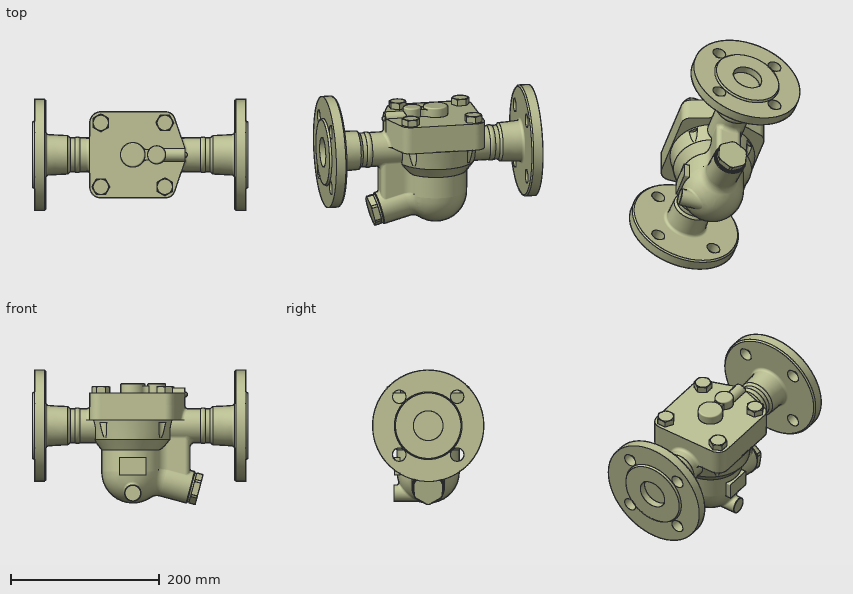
import cadquery as cq
import math

length = 290.0
bore_diameter = 40.0
bore_depth = 10.0
pipe_radius = 23.0
band_radius = 24.0
band_inner_x = 81.0
band_outer_x = 88.0
hub_step_start_x = 94.0
hub_step_end_x = 97.5
hub_small_radius = 26.0
hub_large_radius = 27.3
hub_fillet = 4.0

flange_diameter = 150.0
flange_thickness = 15.0
flange_chamfer = 2.0
raised_face_diameter = 88.0
raised_face_base_diameter = 91.0
raised_face_height = 3.0
bolt_circle_diameter = 110.0
flange_hole_diameter = 18.0
flange_back_x = length / 2 - raised_face_height - flange_thickness

body_x = -10.0
bolt_offset = 43.0
plate_corner_radius = 15.0
plate_half_width = bolt_offset + plate_corner_radius
plate_bottom_z = 7.4
plate_joint_z = 27.8
plate_top_z = 44.0
nose_corner_radius = 13.0
nose_corner_x = 34.0
plate_nose_x = 60.0
plate_nose_half_width = 9.0
plate_pipe_fillet = 4.0

bowl_radius = 42.0
bowl_centre_z = -62.0
shoulder_radius = 52.5
shoulder_top_z = -18.5
shoulder_bottom_z = -32.5
rim_radius = 57.0
scallop_diameter = 16.0
scallop_top_z = 4.6

bolt_head_flats = 21.0
bolt_head_height = 9.0
bolt_head_chamfer_diameter = 20.5
bolt_head_chamfer_angle = 30.0
cap_top_z = 56.5
cap_fillet = 1.8
main_cap_diameter = 33.0
small_cap_diameter = 24.4
small_cap_x = 22.0
link_width = 14.0
link_fillet = 7.0
link_top_z = 53.5
channel_diameter = 18.0
channel_z = 42.0
nub_radius = 3.5

rib_half_width = 17.0
rib_bottom_z = -95.0
rib_end_x = 67.0
rib_foot_start_x = 24.6
rib_corner_radius = 6.5
rib_pipe_fillet = 6.0
rib_bowl_fillet = 15.0
rib_branch_fillet = 2.5

branch_tilt = 15.0
branch_radius = 22.0
branch_fillet = 15.0
branch_length = 81.0
branch_chamfer = 1.0
gasket_radius = 20.0
gasket_end = 83.5
plug_end = 92.4
plug_flats = 38.0
plug_corner_diameter = 42.0
plug_chamfer = 0.5

drain_diameter = 22.0
drain_z = -90.6
drain_face_y = -46.3
drain_chamfer = 0.5
drain_fillet = 3.0
pad_width = 36.0
pad_height = 24.0
pad_z = -54.5
pad_face_y = -45.5
pad_corner_radius = 1.5


def vertical_cylinder(diameter, x, y, bottom_z, top_z):
    return (
        cq.Workplane("XY", origin=(x, y, bottom_z))
        .circle(diameter / 2)
        .extrude(top_z - bottom_z)
    )


def bolt_positions():
    return [
        (body_x + side_x * bolt_offset, side_y * bolt_offset)
        for side_x in (-1, 1)
        for side_y in (-1, 1)
    ]


def pipe_end():
    """One end of the pipe run, from the middle out to the +X raised face."""
    end_x = length / 2
    flange_front_x = end_x - raised_face_height
    flange_radius = flange_diameter / 2
    band_middle_x = (band_inner_x + band_outer_x) / 2
    arc_offset = hub_fillet * (1 - math.sqrt(0.5))
    profile = (
        cq.Workplane("XY")
        .moveTo(0, 0)
        .lineTo(0, pipe_radius)
        .lineTo(band_inner_x, pipe_radius)
        .threePointArc((band_middle_x, band_radius), (band_outer_x, pipe_radius))
        .lineTo(hub_step_start_x, pipe_radius)
        .lineTo(hub_step_end_x, hub_small_radius)
        .lineTo(flange_back_x - hub_fillet, hub_large_radius)
        .threePointArc(
            (flange_back_x - arc_offset, hub_large_radius + arc_offset),
            (flange_back_x, hub_large_radius + hub_fillet),
        )
        .lineTo(flange_back_x, flange_radius - flange_chamfer)
        .lineTo(flange_back_x + flange_chamfer, flange_radius)
        .lineTo(flange_front_x, flange_radius)
        .lineTo(flange_front_x, raised_face_base_diameter / 2)
        .lineTo(end_x, raised_face_diameter / 2)
        .lineTo(end_x, 0)
        .close()
    )
    solid = profile.revolve(360, (0, 0, 0), (1, 0, 0))
    holes = (
        cq.Workplane("YZ", origin=(flange_back_x, 0, 0))
        .polarArray(bolt_circle_diameter / 2, 45, 360, 4)
        .circle(flange_hole_diameter / 2)
        .extrude(flange_thickness)
    )
    bore = (
        cq.Workplane("YZ", origin=(end_x - bore_depth, 0, 0))
        .circle(bore_diameter / 2)
        .extrude(bore_depth)
    )
    return solid.cut(holes).cut(bore)


def pipe_run():
    end = pipe_end()
    return end.union(end.mirror("YZ"))


def plain_pipe(half_length):
    return (
        cq.Workplane("YZ", origin=(-half_length, 0, 0))
        .circle(pipe_radius)
        .extrude(2 * half_length)
    )


def slab(bottom_z, top_z):
    """Level slice of space, wider than the whole part."""
    return cq.Workplane("XY", origin=(0, 0, bottom_z)).rect(2 * length, 2 * length).extrude(top_z - bottom_z)


def plate_with_pipe_fillets():
    """Bolted plate, square at -X and tapering to a nose at +X, blended to the pipe."""
    left_x = body_x - plate_half_width
    corner_y = plate_half_width - nose_corner_radius
    nose_dx = plate_nose_x - nose_corner_x
    nose_dy = plate_nose_half_width - corner_y
    nose_distance = math.hypot(nose_dx, nose_dy)
    tangent_angle = math.atan2(nose_dy, nose_dx) + math.acos(nose_corner_radius / nose_distance)
    middle_angle = (tangent_angle + math.pi / 2) / 2

    def corner_point(angle, side):
        x = nose_corner_x + nose_corner_radius * math.cos(angle)
        y = corner_y + nose_corner_radius * math.sin(angle)
        return (x, side * y)

    block = (
        cq.Workplane("XY", origin=(0, 0, -plate_top_z))
        .moveTo(left_x, -plate_half_width)
        .lineTo(nose_corner_x, -plate_half_width)
        .threePointArc(corner_point(middle_angle, -1), corner_point(tangent_angle, -1))
        .lineTo(plate_nose_x, -plate_nose_half_width)
        .lineTo(plate_nose_x, plate_nose_half_width)
        .lineTo(*corner_point(tangent_angle, 1))
        .threePointArc(corner_point(middle_angle, 1), (nose_corner_x, plate_half_width))
        .lineTo(left_x, plate_half_width)
        .close()
        .extrude(2 * plate_top_z)
        .edges("|Z and <X")
        .fillet(plate_corner_radius)
    )
    pipe_reach = pipe_radius + 1
    around_pipe = cq.selectors.BoxSelector(
        (left_x - 1, -pipe_reach, -pipe_reach),
        (plate_nose_x + 1, pipe_reach, pipe_reach),
    )
    blended = (
        block.union(plain_pipe(band_inner_x))
        .edges(around_pipe)
        .edges("not |Z")
        .fillet(plate_pipe_fillet)
    )
    return blended.intersect(slab(plate_bottom_z, plate_top_z))


def bowl():
    """Turned bowl, scalloped below each bolt, with the drain boss blended in."""
    solid = (
        cq.Workplane("XZ", origin=(body_x, 0, 0))
        .moveTo(0, plate_bottom_z)
        .lineTo(rim_radius, plate_bottom_z)
        .lineTo(shoulder_radius, shoulder_top_z)
        .lineTo(bowl_radius, shoulder_bottom_z)
        .lineTo(bowl_radius, bowl_centre_z)
        .radiusArc((0, bowl_centre_z - bowl_radius), bowl_radius)
        .close()
        .revolve(360, (0, 0, 0), (0, 1, 0))
    )
    drain = (
        cq.Workplane("XZ", origin=(body_x, 0, drain_z))
        .circle(drain_diameter / 2)
        .extrude(-drain_face_y)
        .faces("<Y")
        .chamfer(drain_chamfer)
    )
    solid = solid.union(drain).edges("%BSPLINE").fillet(drain_fillet)
    for x, y in bolt_positions():
        solid = solid.cut(vertical_cylinder(scallop_diameter, x, y, shoulder_top_z, scallop_top_z))
    return solid


def name_pad():
    return (
        cq.Workplane("XZ", origin=(body_x, 0, pad_z))
        .rect(pad_width, pad_height)
        .extrude(-pad_face_y)
        .edges("|Y")
        .fillet(pad_corner_radius)
    )


def branch_plane(distance):
    """Plane square to the branch axis, at a distance from the bowl centre along it."""
    tilt = math.radians(branch_tilt)
    direction = (math.cos(tilt), 0, -math.sin(tilt))
    origin = (
        body_x + distance * direction[0],
        0,
        bowl_centre_z + distance * direction[2],
    )
    return cq.Plane(origin=origin, xDir=(0, 1, 0), normal=direction)


def branch():
    """Tilted socket, revolved with the concave blend into the spherical bottom."""
    blend_r = branch_radius + branch_fillet
    blend_reach = bowl_radius + branch_fillet
    blend_end = math.sqrt(blend_reach**2 - blend_r**2)
    start_scale = bowl_radius / blend_reach
    middle_angle = (math.pi / 2 + math.atan2(blend_r, blend_end)) / 2
    middle = (
        blend_r - branch_fillet * math.sin(middle_angle),
        blend_end - branch_fillet * math.cos(middle_angle),
    )
    plane = branch_plane(0)
    profile_plane = cq.Plane(origin=plane.origin, xDir=(0, 1, 0), normal=plane.xDir.cross(plane.zDir))
    return (
        cq.Workplane(profile_plane)
        .moveTo(0, 0)
        .lineTo(blend_r * start_scale, blend_end * start_scale)
        .threePointArc(middle, (branch_radius, blend_end))
        .lineTo(branch_radius, branch_length - branch_chamfer)
        .lineTo(branch_radius - branch_chamfer, branch_length)
        .lineTo(0, branch_length)
        .close()
        .revolve(360, (0, 0, 0), (0, 1, 0))
    )


def branch_plug():
    gasket = (
        cq.Workplane(branch_plane(branch_length))
        .circle(gasket_radius)
        .extrude(gasket_end - branch_length)
    )
    head_height = plug_end - gasket_end
    turned = (
        cq.Workplane(branch_plane(gasket_end))
        .circle(plug_corner_diameter / 2)
        .extrude(head_height)
        .edges()
        .chamfer(plug_chamfer)
    )
    hexagon = (
        cq.Workplane(branch_plane(gasket_end))
        .polygon(6, plug_flats, circumscribed=True)
        .extrude(head_height)
    )
    return gasket.union(hexagon.intersect(turned))


def rib_on_pipe():
    """Straight-sided rib below the outlet pipe, with its blend into the pipe."""
    rib = (
        cq.Workplane("XY", origin=(0, 0, rib_bottom_z))
        .rect(2 * rib_end_x, 2 * rib_half_width)
        .extrude(-rib_bottom_z)
        .edges("|Z and >X")
        .fillet(rib_corner_radius)
    )
    pipe = plain_pipe(band_inner_x)
    joint = cq.selectors.BoxSelector(
        (-rib_end_x - 1, -pipe_radius - 1, -pipe_radius - 1),
        (rib_end_x + 1, pipe_radius + 1, -1),
    )
    blended = rib.union(pipe).edges(joint).edges("not |Z").fillet(rib_pipe_fillet)
    outlet_half = (
        cq.Workplane("XY", origin=(body_x + length / 2, 0, rib_bottom_z))
        .rect(length, length)
        .extrude(length)
    )
    return blended.intersect(outlet_half)


def rib_skirt():
    """Concave vertical blends where the rib meets the cylindrical bowl."""
    blend_y = rib_half_width + rib_bowl_fillet
    blend_dx = math.sqrt((bowl_radius + rib_bowl_fillet) ** 2 - blend_y**2)
    scale = bowl_radius / (bowl_radius + rib_bowl_fillet)
    blend_x = body_x + blend_dx
    skirt = (
        cq.Workplane("XY", origin=(0, 0, rib_bottom_z))
        .moveTo(body_x, -blend_y * scale)
        .lineTo(body_x + blend_dx * scale, -blend_y * scale)
        .radiusArc((blend_x, -rib_half_width), rib_bowl_fillet)
        .lineTo(blend_x, rib_half_width)
        .radiusArc((body_x + blend_dx * scale, blend_y * scale), rib_bowl_fillet)
        .lineTo(body_x, blend_y * scale)
        .close()
        .extrude(shoulder_top_z - rib_bottom_z)
    )
    return skirt


def rib_and_branch():
    """Rib trimmed at the branch axis and blended into the branch."""
    above_axis = (
        cq.Workplane(branch_plane(-length))
        .center(0, length / 2)
        .rect(length, length)
        .extrude(2 * length)
    )
    rib = rib_on_pipe().union(rib_skirt()).intersect(above_axis)
    rib_foot = cq.selectors.BoxSelector(
        (rib_foot_start_x, -bowl_radius / 2, bowl_centre_z - rib_corner_radius),
        (rib_end_x + 1, bowl_radius / 2, bowl_centre_z + rib_corner_radius),
    )
    return rib.union(branch()).edges(rib_foot).fillet(rib_branch_fillet)


def bolt_head(x, y):
    """Hexagon head, turned so that its corners follow a pattern around the plate."""
    cone_rise = math.tan(math.radians(bolt_head_chamfer_angle))
    top_radius = bolt_head_chamfer_diameter / 2
    base_radius = top_radius + bolt_head_height / cone_rise
    corner_angle = 0 if (x - body_x) * y < 0 else 30
    hexagon = (
        cq.Workplane("XY", origin=(x, y, plate_top_z))
        .transformed(rotate=(0, 0, corner_angle))
        .polygon(6, bolt_head_flats, circumscribed=True)
        .extrude(bolt_head_height)
    )
    cone = cq.Workplane(
        cq.Solid.makeCone(base_radius, top_radius, bolt_head_height, cq.Vector(x, y, plate_top_z))
    )
    return hexagon.intersect(cone)


def cap(diameter, x):
    return (
        vertical_cylinder(diameter, x, 0, plate_joint_z, cap_top_z)
        .faces(">Z")
        .fillet(cap_fillet)
    )


def cover_channel():
    """Caps, the link between them and the round channel running to the plate nose."""
    link_length = small_cap_x - body_x
    link = (
        cq.Workplane("XY", origin=(body_x + link_length / 2, 0, plate_joint_z))
        .rect(link_length, link_width)
        .extrude(link_top_z - plate_joint_z)
    )
    channel = (
        cq.Workplane("YZ", origin=(small_cap_x, 0, channel_z))
        .circle(channel_diameter / 2)
        .extrude(plate_nose_x - small_cap_x)
    )
    nub = cq.Workplane("XY", origin=(plate_nose_x, 0, channel_z)).sphere(nub_radius)
    main_cap = cap(main_cap_diameter, body_x)
    small_cap = cap(small_cap_diameter, small_cap_x)
    blend_reach = cq.selectors.BoxSelector(
        (body_x, -link_width, plate_joint_z),
        (body_x + main_cap_diameter / 2, link_width, cap_top_z),
    )
    linked_cap = main_cap.union(link).edges(blend_reach).edges("|Z").fillet(link_fillet)
    return linked_cap.union(small_cap).union(channel).union(nub)


def cover(plate):
    solid = plate.intersect(slab(plate_joint_z, plate_top_z)).union(cover_channel())
    for x, y in bolt_positions():
        solid = solid.union(bolt_head(x, y))
    return solid


plates = plate_with_pipe_fillets()
body = (
    plates.intersect(slab(plate_bottom_z, plate_joint_z))
    .union(bowl())
    .union(name_pad())
    .union(rib_and_branch())
    .union(branch_plug())
    .union(pipe_run())
)
result = body.union(cover(plates), clean=False)